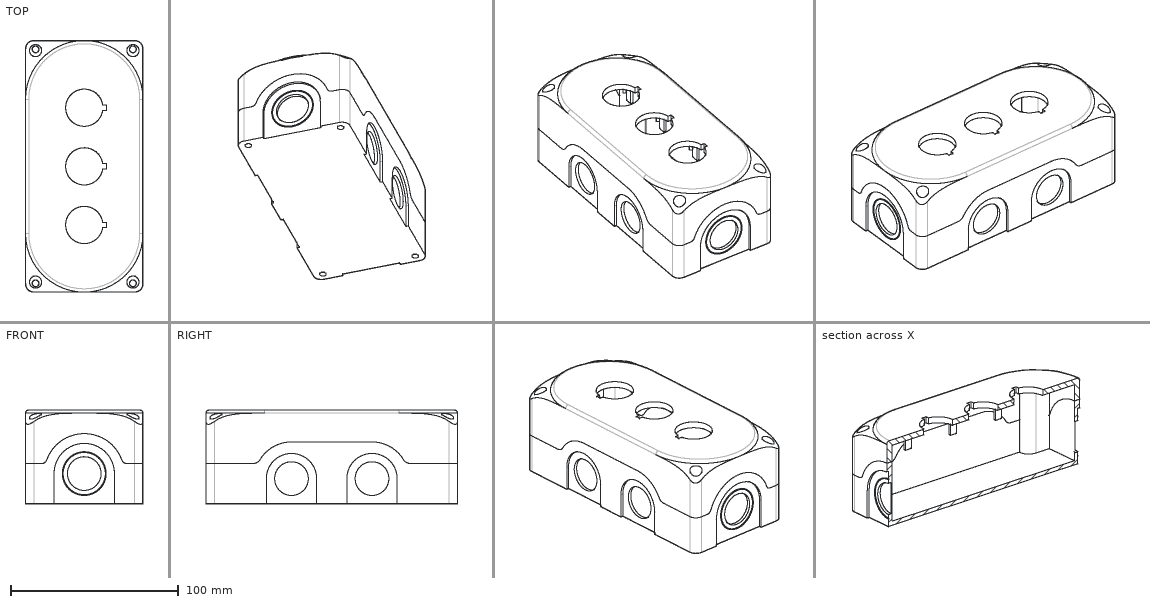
import cadquery as cq
import math

WIDTH = 70.0
LENGTH = 150.0
HEIGHT = 56.0
CORNER_RADIUS = 5.0
WALL = 4.5
FLOOR = 3.0
ROOF = 3.9
HALF_WIDTH = WIDTH / 2
HALF_LENGTH = LENGTH / 2
CAVITY_WIDTH = WIDTH - 2 * WALL
CAVITY_LENGTH = LENGTH - 2 * WALL
ROOF_Z = HEIGHT - ROOF

RIM_RADIUS = 2.0
SLOPE_RADIUS = 15.0
END_CENTER_Y = HALF_LENGTH - HALF_WIDTH
RIM_Z = HEIGHT - RIM_RADIUS

SPLIT_Z = 24.0
END_ARCH_RADIUS = 23.8
END_ARCH_BLEND = 3.0
SIDE_ARCH_RADIUS = 21.9
SIDE_ARCH_BLEND = 5.0

RECESS_DEPTH = 1.5
KNOCKOUT_RADIUS = 10.0
KNOCKOUT_DEPTH = 2.0
END_RECESS_RADIUS = 18.0
END_ENTRY_Z = 18.0
END_RING_RADIUS = 13.0
END_RING_WIDTH = 0.5
END_RING_DEPTH = 0.3
SIDE_RECESS_RADIUS = 15.0
SIDE_ENTRY_Z = 15.0
SIDE_ENTRY_Y = 24.0

SWITCH_PITCH = 35.0
SWITCH_RADIUS = 11.1
KEY_WIDTH = 3.2
KEY_REACH = 13.2

STOP_ANGLE = 45
STOP_WIDTH = 2.0
STOP_THICKNESS = 1.5
STOP_DROP = 6.3
GUIDE_X = 13.5
GUIDE_Y = 11.8
GUIDE_WIDTH = 4.6
GUIDE_THICKNESS = 1.5
GUIDE_DROP = 17.5

SCREW_INSET = 6.0
SCREW_X = HALF_WIDTH - SCREW_INSET
SCREW_Y = HALF_LENGTH - SCREW_INSET
POST_SIZE_X = 7.4
POST_SIZE_Y = 17.1
POST_CORNER_RADIUS = 6.8
HEAD_RADIUS = 3.6
SCREW_RADIUS = 2.0
SCREW_OFFSET = 0.8

CORNERS = [(sx, sy) for sx in (-1, 1) for sy in (-1, 1)]


def rounded_block():
    """Plain block with the four vertical corners rounded."""
    return (
        cq.Workplane("XY")
        .rect(WIDTH, LENGTH)
        .extrude(HEIGHT)
        .edges("|Z")
        .fillet(CORNER_RADIUS)
    )


def top_profile():
    """Half section of the top: flat, rim quarter-round, then the corner slope."""
    diagonal = math.sqrt(0.5)
    flat_edge = HALF_WIDTH - RIM_RADIUS
    return (
        cq.Workplane("XZ")
        .lineTo(0, HEIGHT)
        .lineTo(flat_edge, HEIGHT)
        .threePointArc(
            (flat_edge + RIM_RADIUS * diagonal, RIM_Z + RIM_RADIUS * diagonal),
            (HALF_WIDTH, RIM_Z),
        )
        .threePointArc(
            (HALF_WIDTH + SLOPE_RADIUS * diagonal, RIM_Z - SLOPE_RADIUS * (1 - diagonal)),
            (HALF_WIDTH + SLOPE_RADIUS, RIM_Z - SLOPE_RADIUS),
        )
        .lineTo(HALF_WIDTH + SLOPE_RADIUS, 0)
        .close()
    )


def crowned_envelope():
    """Outer shape of the closed enclosure."""
    dome = top_profile().revolve(360, (0, 0, 0), (0, 1, 0))
    bar = (
        cq.Workplane("XY")
        .rect(WIDTH, 2 * END_CENTER_Y)
        .extrude(HEIGHT)
        .edges("|Y and >Z")
        .fillet(RIM_RADIUS)
    )
    crown = bar
    for side in (-1, 1):
        half_space = cq.Workplane("XY").box(2 * WIDTH, LENGTH, 3 * HEIGHT).translate(
            (0, side * HALF_LENGTH, 0)
        )
        crown = crown.union(dome.intersect(half_space).translate((0, side * END_CENTER_Y, 0)))
    return rounded_block().intersect(crown)


def screw_cylinders(radius, bottom, top, y_offset=0.0):
    """Vertical cylinders on the four screw axes."""
    points = [(sx * SCREW_X, sy * (SCREW_Y + y_offset)) for sx, sy in CORNERS]
    return (
        cq.Workplane("XY")
        .workplane(offset=bottom)
        .pushPoints(points)
        .circle(radius)
        .extrude(top - bottom)
    )


def cavity():
    """Rectangular inside of the enclosure."""
    return (
        cq.Workplane("XY")
        .workplane(offset=FLOOR)
        .rect(CAVITY_WIDTH, CAVITY_LENGTH)
        .extrude(ROOF_Z - FLOOR)
    )


def parting_prism(plane, half_span, arch_radius, arch_z, arch_offset, blend):
    """Volume below the parting line: flat at the ends, blended up into an arch."""
    blend_z = SPLIT_Z + blend - arch_z
    blend_x = math.sqrt((arch_radius + blend) ** 2 - blend_z**2)
    share = arch_radius / (arch_radius + blend)
    start_x = arch_offset + blend_x
    tangent = (arch_offset + share * blend_x, arch_z + share * blend_z)
    crest_z = arch_z + arch_radius
    outline = (
        cq.Workplane(plane)
        .lineTo(half_span, 0)
        .lineTo(half_span, SPLIT_Z)
        .lineTo(start_x, SPLIT_Z)
        .tangentArcPoint(tangent, relative=False)
        .tangentArcPoint((arch_offset, crest_z), relative=False)
    )
    if arch_offset > 0:
        outline = outline.lineTo(0, crest_z)
    half = outline.close().extrude(LENGTH, both=True)
    return half.union(half.mirror("YZ" if plane == "XZ" else "XZ"))


def base_region():
    """Everything that lies below the parting line on all four walls."""
    ends = parting_prism("XZ", WIDTH, END_ARCH_RADIUS, END_ENTRY_Z, 0, END_ARCH_BLEND)
    sides = parting_prism(
        "YZ", LENGTH, SIDE_ARCH_RADIUS, SIDE_ENTRY_Z, SIDE_ENTRY_Y, SIDE_ARCH_BLEND
    )
    return ends.union(sides)


def entry_cutter(recess_radius, entry_z, ring=False):
    """Arched recess, open at the bottom, with a knockout; cuts in +Y from Y = 0."""
    face = cq.Workplane("XZ")
    cutter = face.center(0, entry_z).circle(recess_radius).extrude(-RECESS_DEPTH)
    cutter = cutter.union(
        face.center(0, entry_z / 2).rect(2 * recess_radius, entry_z).extrude(-RECESS_DEPTH)
    )
    cutter = cutter.union(
        face.center(0, entry_z).circle(KNOCKOUT_RADIUS).extrude(-RECESS_DEPTH - KNOCKOUT_DEPTH)
    )
    if ring:
        groove = face.center(0, entry_z).circle(END_RING_RADIUS)
        groove = groove.circle(END_RING_RADIUS - END_RING_WIDTH)
        cutter = cutter.union(groove.extrude(-RECESS_DEPTH - END_RING_DEPTH))
    return cutter


def make_base(shell):
    """Lower body: floor and lower walls with the cable entries and screw holes."""
    base = shell.intersect(base_region())
    end_entry = entry_cutter(END_RECESS_RADIUS, END_ENTRY_Z, ring=True)
    end_entry = end_entry.translate((0, -HALF_LENGTH, 0))
    side_entry = entry_cutter(SIDE_RECESS_RADIUS, SIDE_ENTRY_Z)
    side_entry = side_entry.rotate((0, 0, 0), (0, 0, 1), -90).translate((-HALF_WIDTH, 0, 0))
    for turn in (0, 180):
        base = base.cut(end_entry.rotate((0, 0, 0), (0, 0, 1), turn))
        for y in (-SIDE_ENTRY_Y, SIDE_ENTRY_Y):
            base = base.cut(side_entry.translate((0, y, 0)).rotate((0, 0, 0), (0, 0, 1), turn))
    base = base.cut(screw_cylinders(HEAD_RADIUS, FLOOR, HEIGHT))
    return base.cut(screw_cylinders(SCREW_RADIUS, 0, FLOOR, SCREW_OFFSET))


def switch_opening():
    """Round opening with an anti-rotation key slot on the +X side."""
    key = cq.Workplane("XY").center(KEY_REACH / 2, 0).rect(KEY_REACH, KEY_WIDTH).extrude(HEIGHT)
    return cq.Workplane("XY").circle(SWITCH_RADIUS).extrude(HEIGHT).union(key)


def corner_posts():
    """Screw posts filling the cavity corners, from the roof down to the base floor."""
    block = (
        cq.Workplane("XY")
        .workplane(offset=FLOOR)
        .rect(2 * POST_SIZE_X, 2 * POST_SIZE_Y)
        .extrude(ROOF_Z - FLOOR)
        .edges("|Z")
        .fillet(POST_CORNER_RADIUS)
    )
    posts = cq.Workplane("XY")
    for sx, sy in CORNERS:
        posts = posts.add(block.translate((sx * CAVITY_WIDTH / 2, sy * CAVITY_LENGTH / 2, 0)))
    return posts.combine().intersect(cavity())


def hanging_tab(thickness, width, drop):
    """Plate hanging down from Z = 0, with its -X face on X = 0."""
    plate = cq.Workplane("XY").box(thickness, width, drop, centered=(False, True, False))
    return plate.translate((0, 0, -drop))


def switch_tabs():
    """Short stop on the rim of a switch opening, and the longer guide plate behind it."""
    stop = hanging_tab(STOP_THICKNESS, STOP_WIDTH, STOP_DROP).translate((SWITCH_RADIUS, 0, 0))
    stop = stop.rotate((0, 0, 0), (0, 0, 1), STOP_ANGLE)
    guide = hanging_tab(GUIDE_THICKNESS, GUIDE_WIDTH, GUIDE_DROP)
    return stop.union(guide.translate((GUIDE_X, GUIDE_Y, 0))).translate((0, 0, HEIGHT))


def make_cover(envelope, shell):
    """Upper body: roof, upper walls, screw posts and switch openings with their tabs."""
    cover = shell.cut(base_region()).union(corner_posts().intersect(envelope))
    for index in (-1, 0, 1):
        place = (0, index * SWITCH_PITCH, 0)
        cover = cover.union(switch_tabs().translate(place))
        cover = cover.cut(switch_opening().translate(place))
    return cover.cut(screw_cylinders(HEAD_RADIUS, FLOOR, HEIGHT))


envelope = crowned_envelope()
shell = envelope.cut(cavity())
base = make_base(shell)
cover = make_cover(envelope, shell)

result = cq.Compound.makeCompound([base.solids().val(), cover.solids().val()])